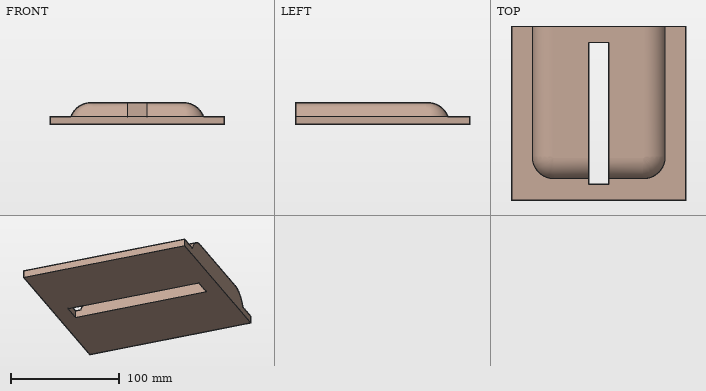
import cadquery as cq

plate_side = 160.0
plate_thickness = 7.0
overall_height = 20.0
back_y = plate_side / 2

round_radius = 20.0
pad_width = 124.6
pad_front_margin = 18.7
top_corner_radius = 1.3
corner_radius = top_corner_radius + round_radius
pad_length = plate_side - pad_front_margin

slot_width = 18.0
slot_end_margin = 15.0
slot_length = plate_side - 2 * slot_end_margin


def centred_block(width, length, height):
    """Block centred in X and Y, standing on Z = 0."""
    return cq.Workplane("XY").box(width, length, height, centered=(True, True, False))


def make_pad():
    block_height = 2 * round_radius
    block_center_y = back_y - pad_length / 2
    block = (
        centred_block(pad_width, pad_length, block_height)
        .translate((0, block_center_y, overall_height - block_height))
        .edges("|Z and <Y")
        .fillet(corner_radius)
        .faces(">Z")
        .edges("not >Y")
        .fillet(round_radius)
    )
    return block.intersect(centred_block(plate_side, plate_side, overall_height))


plate = centred_block(plate_side, plate_side, plate_thickness)
slot = centred_block(slot_width, slot_length, overall_height)

result = plate.union(make_pad()).cut(slot)